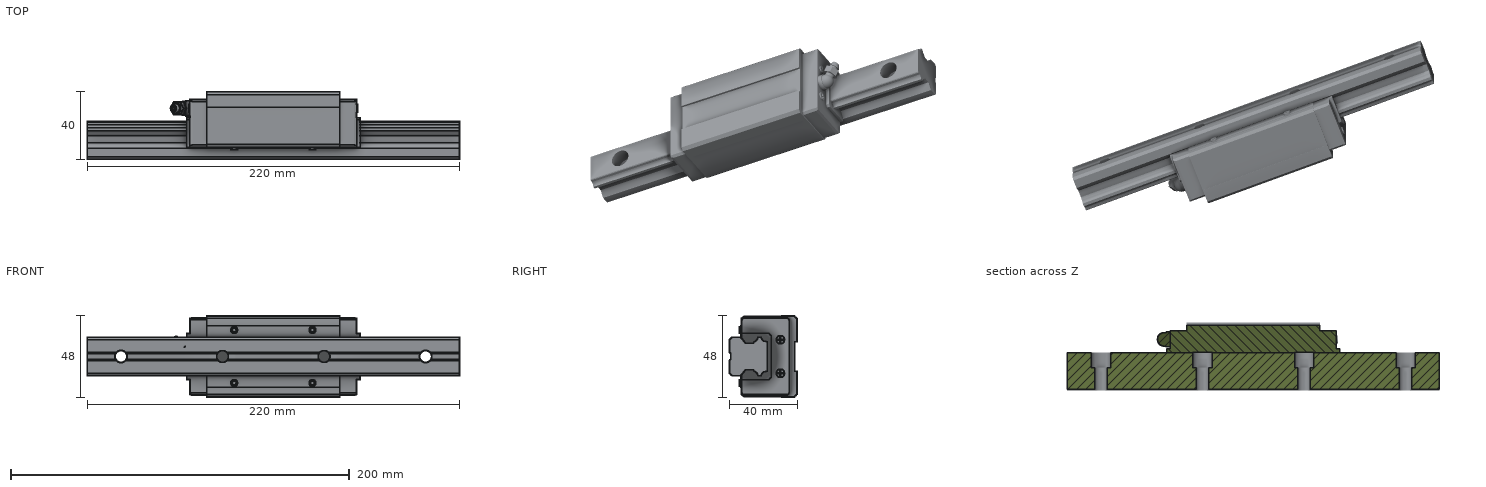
import cadquery as cq
import math

rail_length = 220.0
rail_height = 22.5
base_half_width = 11.5
foot_chamfer = 1.5
waist_half_width = 7.7
foot_top = 6.5
waist_bottom = 9.7
waist_top = 13.9
groove_half_width = 9.0
lower_groove_end = 15.2
upper_groove_end = 20.5
crest_bottom = 17.0
crest_top = 18.7
shoulder_half_width = 8.8
top_chamfer = 0.5
groove_sag = 0.33
relief_half_width = 1.8
relief_mouth_half_width = 2.5
relief_depth = 0.7

hole_count = 4
hole_end_distance = 20.0
hole_pitch = (rail_length - 2 * hole_end_distance) / (hole_count - 1)
hole_diameter = 7.0
bore_diameter = 11.0
bore_depth = 9.0

centre_x = rail_length / 2
block_length = 78.8
block_top = 40.0
block_bottom = 7.0
block_half_width = 24.0
lower_half_width = 23.8
side_step_y = 30.8
block_chamfer = 1.8
lower_chamfer_drop = 1.3
recess_half_width = 8.5
recess_depth = 1.3
rail_clearance = 0.7
strip_half_width = 18.3
strip_height = 0.2

cap_face_x = 60.7
cap_half_width = 22.9
cap_top = 35.5
cap_bottom = 7.3
cap_corner_chamfer = 1.3
cap_rim_length = 1.5
cap_rim_drop = 0.5
seal_face_x = 58.7
seal_half_width = 13.6
seal_top = 24.6
seal_corner_chamfer = 1.3

strip_screw_spacing = 46.2
strip_screw_z = 15.6
strip_screw_diameter = 4.0
strip_screw_tip_y = 5.7
strip_socket_diameter = 2.5
socket_depth = 0.7
cap_screw_y = 30.1
cap_screw_z = 10.0
cap_screw_diameter = 4.8
cap_screw_height = 0.7
cross_length = 3.3
cross_width = 0.7

nipple_y = 30.1
elbow_x = 57.5
elbow_radius = 4.2
collar_radius = 4.6
collar_length = 2.5
barrel_tilt = 30.0
hex_start = 4.8
hex_end = 8.5
hex_sides = 6
hex_across_flats = 7.7
neck_radius = 2.6
head_start = 10.0
nipple_length = 12.8
head_radius = 3.3
tip_radius = 2.0
mouth_radius = 1.0
mouth_depth = 1.0


def half_rail_profile():
    """Closed outline of the rail's +Z half in the YZ plane, starting at the relief groove."""
    return (
        cq.Workplane("YZ")
        .moveTo(relief_depth, relief_half_width)
        .lineTo(0, relief_mouth_half_width)
        .lineTo(0, base_half_width - foot_chamfer)
        .lineTo(foot_chamfer, base_half_width)
        .lineTo(foot_top, base_half_width)
        .lineTo(waist_bottom, waist_half_width)
        .lineTo(waist_top, waist_half_width)
        .lineTo(lower_groove_end, groove_half_width)
        .sagittaArc((crest_bottom, base_half_width), -groove_sag)
        .lineTo(crest_top, base_half_width)
        .sagittaArc((upper_groove_end, groove_half_width), -groove_sag)
        .lineTo(rail_height - top_chamfer, shoulder_half_width)
        .lineTo(rail_height, shoulder_half_width - top_chamfer)
        .lineTo(rail_height, 0)
        .lineTo(relief_depth, 0)
        .close()
    )


def make_rail_blank():
    """Full-length rail without its mounting holes."""
    half = half_rail_profile().extrude(rail_length)
    return half.union(half.mirror("XY")).clean()


def make_rail(blank):
    holes = [(hole_end_distance + i * hole_pitch, 0) for i in range(hole_count)]
    top_face = cq.Workplane("XZ", origin=(0, rail_height, 0))
    through = top_face.pushPoints(holes).circle(hole_diameter / 2).extrude(rail_height)
    bores = top_face.pushPoints(holes).circle(bore_diameter / 2).extrude(bore_depth)
    return blank.cut(through).cut(bores)


def box(x_range, y_range, half_width):
    """Box over the given X and Y ranges, symmetric about Z = 0."""
    length = x_range[1] - x_range[0]
    height = y_range[1] - y_range[0]
    corner = cq.Workplane("XY", origin=(x_range[0], y_range[0], 0))
    return corner.box(length, height, 2 * half_width, centered=(False, False, True))


def edge_wedges(plane, corner, legs, length):
    """Mirrored pair of triangular bars that bevel one straight edge on each Z side."""
    across, z = corner
    leg_across, leg_z = legs
    outline = [(across, z), (across + leg_across, z), (across, z - leg_z)]
    wedge = cq.Workplane(plane).polyline(outline).close().extrude(length)
    return wedge.union(wedge.mirror("XY"))


def make_block(rail_blank):
    start = centre_x - block_length / 2
    span = (start, start + block_length)
    upper = box(span, (side_step_y, block_top), block_half_width)
    upper = upper.faces(">Y").edges("|X").chamfer(block_chamfer)
    lower = box(span, (block_bottom, side_step_y), lower_half_width)
    bevels = edge_wedges(
        cq.Plane.YZ((start, 0, 0)),
        (block_bottom, lower_half_width),
        (block_chamfer, lower_chamfer_drop),
        block_length,
    )
    lower = lower.cut(bevels)
    strip = box(span, (block_bottom - strip_height, block_bottom), strip_half_width)
    recess = box(span, (block_top - recess_depth, block_top), recess_half_width)
    rail_section = rail_blank.faces("<X").wires().toPending()
    passage = rail_section.offset2D(rail_clearance).extrude(-rail_length)
    return upper.union(lower).union(strip).cut(recess).cut(passage)


def make_left_cap(rail_blank):
    """End cap with its seal plate and screws; both seal against the rail outline."""
    block_start = centre_x - block_length / 2
    body = box((cap_face_x, block_start), (cap_bottom, cap_top), cap_half_width)
    body = body.edges("|X").chamfer(cap_corner_chamfer)
    rim_bevels = edge_wedges(
        cq.Plane(origin=(0, cap_top, 0), xDir=(1, 0, 0), normal=(0, -1, 0)),
        (cap_face_x, cap_half_width),
        (cap_rim_length, cap_rim_drop),
        cap_top - cap_bottom,
    )
    body = body.cut(rim_bevels)
    seal = box((seal_face_x, cap_face_x), (cap_bottom, seal_top), seal_half_width)
    seal = seal.faces(">Y").edges("|X").chamfer(seal_corner_chamfer)
    cap = body.union(seal).cut(rail_blank)
    for z in (-cap_screw_z, cap_screw_z):
        cap = cap.union(make_cap_screw(z))
    return cap


def make_cap_screw(z):
    plane = cq.Workplane("YZ", origin=(cap_face_x - cap_screw_height, cap_screw_y, z))
    head = plane.circle(cap_screw_diameter / 2).extrude(cap_screw_height)
    for angle in (0, 90):
        slot = plane.transformed(rotate=(0, 0, angle)).rect(cross_length, cross_width)
        head = head.cut(slot.extrude(cap_screw_height))
    return head


def make_strip_screws():
    points = [
        (centre_x + side * strip_screw_spacing / 2, z)
        for side in (-1, 1)
        for z in (-strip_screw_z, strip_screw_z)
    ]
    plane = cq.Workplane("XZ", origin=(0, strip_screw_tip_y, 0)).pushPoints(points)
    shanks = plane.circle(strip_screw_diameter / 2).extrude(strip_screw_tip_y - block_bottom)
    sockets = plane.circle(strip_socket_diameter / 2).extrude(-socket_depth)
    return shanks.cut(sockets)


def make_carriage(rail_blank):
    left_cap = make_left_cap(rail_blank)
    right_cap = left_cap.mirror("YZ", (centre_x, 0, 0))
    return make_block(rail_blank).union(left_cap).union(right_cap).union(make_strip_screws())


def make_nipple():
    """Elbow nipple: collar on the cap face, ball elbow, tilted barrel with hexagon and conical head."""
    tilt = math.radians(barrel_tilt)
    axis = cq.Plane(
        origin=(elbow_x, nipple_y, 0),
        xDir=(math.cos(tilt), 0, math.sin(tilt)),
        normal=(-math.sin(tilt), 0, math.cos(tilt)),
    )
    barrel_start = cq.Workplane(axis)
    collar = cq.Workplane("YZ", origin=(cap_face_x, nipple_y, 0)).circle(collar_radius)
    collar = collar.extrude(-collar_length)
    elbow = cq.Workplane("XY", origin=(elbow_x, nipple_y, 0)).sphere(elbow_radius)
    beyond_cap_face = box((cap_face_x, cap_face_x + elbow_radius), (0, block_top), elbow_radius)
    elbow = elbow.cut(beyond_cap_face)
    neck = barrel_start.circle(neck_radius).extrude(head_start)
    hex_across_corners = hex_across_flats / math.cos(math.pi / hex_sides)
    hexagon = barrel_start.workplane(offset=hex_start).polygon(hex_sides, hex_across_corners)
    hexagon = hexagon.extrude(hex_end - hex_start)
    head = barrel_start.workplane(offset=head_start).circle(head_radius)
    head = head.workplane(offset=nipple_length - head_start).circle(tip_radius).loft()
    mouth = barrel_start.workplane(offset=nipple_length - mouth_depth).circle(mouth_radius)
    mouth = mouth.extrude(mouth_depth)
    return elbow.union(collar).union(neck).union(hexagon).union(head).cut(mouth)


rail_blank = make_rail_blank()
rail = make_rail(rail_blank)
carriage = make_carriage(rail_blank)
nipple = make_nipple()

result = cq.Compound.makeCompound([rail.val(), carriage.val(), nipple.val()])